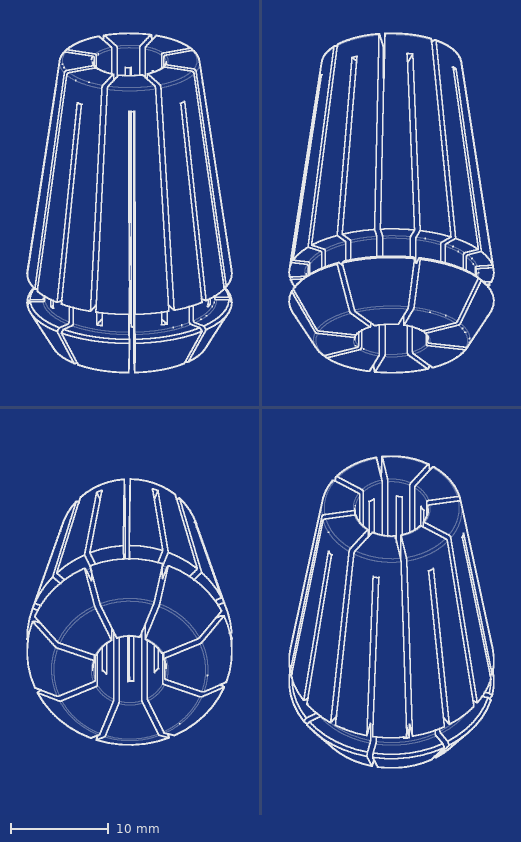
import cadquery as cq
import math

LENGTH = 31.5
MAX_RADIUS = 21.0 / 2
BORE_RADIUS = 7.5 / 2

CONE_BASE_Z = 7.7
CONE_HALF_ANGLE = 8.0

NOSE_HALF_ANGLE = 30.0
NOSE_TOP_Z = 4.45
COLLAR_CHAMFER = 0.3

NECK_RADIUS = 8.73
NECK_FILLET = 0.2

OUTER_RIM_FILLET = 0.28
BORE_RIM_FILLET = 0.2

SLOTS_PER_END = 8
SLOT_WIDTH = 0.6
LOWER_SLOT_TOP_Z = 29.05
UPPER_SLOT_FLOOR_Z = 5.45

SLOT_PITCH = 360 / SLOTS_PER_END
BLADE_LENGTH = 3 * MAX_RADIUS
COLLAR_TOP_Z = NOSE_TOP_Z + COLLAR_CHAMFER


def cone_radius(z):
    """Radius of the clamping cone at height z."""
    return MAX_RADIUS - (z - CONE_BASE_Z) * math.tan(math.radians(CONE_HALF_ANGLE))


def nose_radius(z):
    """Radius of the nose taper at height z."""
    return MAX_RADIUS - (NOSE_TOP_Z - z) * math.tan(math.radians(NOSE_HALF_ANGLE))


def make_body():
    """Revolve the half section, then round the rims of both end faces."""
    sharp_body = (
        cq.Workplane("XZ")
        .moveTo(BORE_RADIUS, 0)
        .lineTo(nose_radius(0), 0)
        .lineTo(MAX_RADIUS, NOSE_TOP_Z)
        .lineTo(MAX_RADIUS - COLLAR_CHAMFER, COLLAR_TOP_Z)
        .lineTo(NECK_RADIUS + NECK_FILLET, COLLAR_TOP_Z)
        .radiusArc((NECK_RADIUS, COLLAR_TOP_Z + NECK_FILLET), NECK_FILLET)
        .lineTo(NECK_RADIUS, CONE_BASE_Z - NECK_FILLET)
        .radiusArc((NECK_RADIUS + NECK_FILLET, CONE_BASE_Z), NECK_FILLET)
        .lineTo(MAX_RADIUS, CONE_BASE_Z)
        .lineTo(cone_radius(LENGTH), LENGTH)
        .lineTo(BORE_RADIUS, LENGTH)
        .close()
        .revolve(360, (0, 0, 0), (0, 1, 0))
    )
    smallest_radius = cq.selectors.RadiusNthSelector(0)
    largest_radius = cq.selectors.RadiusNthSelector(-1)
    rounded_body = sharp_body
    for end_face in ("<Z", ">Z"):
        rounded_body = rounded_body.faces(end_face).edges(smallest_radius).fillet(BORE_RIM_FILLET)
        rounded_body = rounded_body.faces(end_face).edges(largest_radius).fillet(OUTER_RIM_FILLET)
    return rounded_body


def cut_slots(body, bottom_z, top_z, first_angle):
    """Cut evenly spaced radial slots between two heights.

    Each blade spans the full diameter, so it makes two opposite slots.
    """
    blade = (
        cq.Workplane("XY")
        .workplane(offset=bottom_z)
        .rect(BLADE_LENGTH, SLOT_WIDTH)
        .extrude(top_z - bottom_z)
    )
    for index in range(SLOTS_PER_END // 2):
        angle = first_angle + index * SLOT_PITCH
        body = body.cut(blade.rotate((0, 0, 0), (0, 0, 1), angle))
    return body


body = make_body()
body = cut_slots(body, 0, LOWER_SLOT_TOP_Z, 0)
result = cut_slots(body, UPPER_SLOT_FLOOR_Z, LENGTH, SLOT_PITCH / 2)